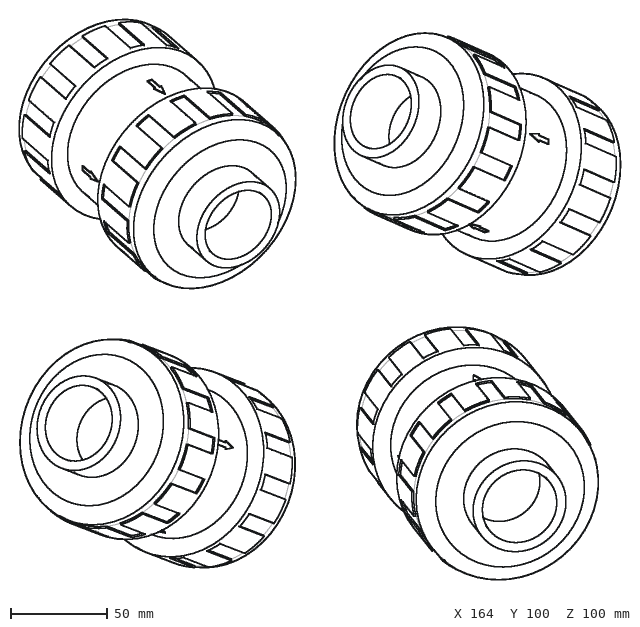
import cadquery as cq

overall_length = 164.0
pipe_diameter = 50.0
bore_radius = 20.0
bore_depth = 32.8
body_radius = 40.3

nut_end_inset = 18.5
nut_length = 40.0
nut_face_radius = 40.0
nut_chamfer_length = 5.4
nut_base_radius = 49.0
nut_outer_radius = 50.0
nut_collar_length = 4.0

rib_count = 14
rib_length = 25.7
rib_angle = 16.0
rib_center_angle = 4.9
slot_clearance = 1.6

arrow_count = 4
arrow_length = 15.7
arrow_head_length = 7.7
arrow_head_width = 4.6
arrow_shaft_width = 2.6
arrow_height = 0.41

half_length = overall_length / 2
pipe_radius = pipe_diameter / 2
nut_start = -half_length + nut_end_inset
nut_end = nut_start + nut_length
collar_start = nut_end - nut_collar_length
rib_start = collar_start - rib_length


def cylinder_along_x(start, length, radius):
    return cq.Workplane("YZ", origin=(start, 0, 0)).circle(radius).extrude(length)


def rotated_about_x(shape, angle):
    return shape.rotate((0, 0, 0), (1, 0, 0), angle)


def make_slot():
    """Cutter for the gap between the first rib and the next one."""
    rib_pitch = 360 / rib_count
    slot_angle = rib_pitch - rib_angle
    cut_radius = nut_outer_radius + slot_clearance
    sector = (
        cq.Workplane("XY")
        .moveTo(rib_start, -nut_base_radius)
        .lineTo(collar_start, -nut_base_radius)
        .lineTo(collar_start, -cut_radius)
        .lineTo(rib_start, -cut_radius)
        .close()
        .revolve(slot_angle, (0, 0, 0), (-1, 0, 0))
    )
    slot_center_angle = rib_center_angle + rib_pitch / 2
    return rotated_about_x(sector, slot_angle / 2 - slot_center_angle)


def make_nut():
    """The nut at the -X end: a chamfered ring with slots cut between its ribs."""
    nut = (
        cq.Workplane("XY")
        .moveTo(nut_start, 0)
        .lineTo(nut_start, nut_face_radius)
        .lineTo(nut_start + nut_chamfer_length, nut_base_radius)
        .lineTo(rib_start, nut_base_radius)
        .lineTo(rib_start, nut_outer_radius)
        .lineTo(nut_end, nut_outer_radius)
        .lineTo(nut_end, 0)
        .close()
        .revolve(360, (0, 0, 0), (1, 0, 0))
    )
    slot = make_slot()
    for index in range(rib_count):
        nut = nut.cut(rotated_about_x(slot, index * 360 / rib_count), clean=False)
    return nut


def make_arrow():
    """A flow arrow on the +Z side with its top concentric to the body."""
    tail = -arrow_length / 2
    tip = arrow_length / 2
    head = tip - arrow_head_length
    outer_radius = body_radius + arrow_height
    prism = (
        cq.Workplane("XY")
        .moveTo(tail, -arrow_shaft_width / 2)
        .lineTo(head, -arrow_shaft_width / 2)
        .lineTo(head, -arrow_head_width / 2)
        .lineTo(tip, 0)
        .lineTo(head, arrow_head_width / 2)
        .lineTo(head, arrow_shaft_width / 2)
        .lineTo(tail, arrow_shaft_width / 2)
        .close()
        .extrude(outer_radius)
    )
    return prism.intersect(cylinder_along_x(tail, arrow_length, outer_radius))



result = cylinder_along_x(-half_length, overall_length, pipe_radius)
result = result.union(cylinder_along_x(nut_end, -2 * nut_end, body_radius))

nut = make_nut()
result = result.union(nut, clean=False)
result = result.union(nut.rotate((0, 0, 0), (0, 1, 0), 180), clean=False)

arrow = make_arrow()
for index in range(arrow_count):
    result = result.union(rotated_about_x(arrow, index * 360 / arrow_count), clean=False)

for bore_start in (-half_length, half_length - bore_depth):
    result = result.cut(cylinder_along_x(bore_start, bore_depth, bore_radius), clean=False)